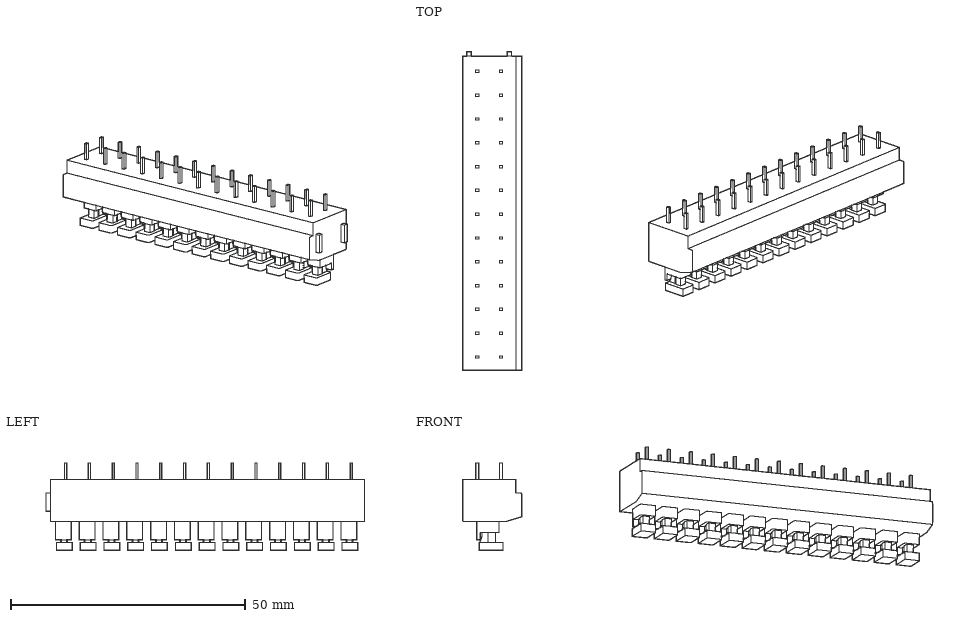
import cadquery as cq

total_width = 12.6
total_length = 68.04
total_height = 18.7

contact_count = 13
pitch = 5.08

end_peg_length = 0.95
housing_length = total_length - end_peg_length
housing_bottom = 6.15
housing_fillet = 0.2
housing_top = 15.15
shoulder_x = 11.35
shoulder_z = 12.25
nose_bottom_z = 7.15
nose_bevel_x = 9.3

peg_width = 1.0
peg_height = 4.0
peg_bottom = 8.3
peg_x_positions = (1.35, 9.95)

pin_size_x = 0.7
pin_size_y = 0.5
first_pin_y = 2.87
pin_x_left = 3.11
pin_x_positions = (pin_x_left, pin_x_left + pitch)

guide_left = 2.95
guide_right = 7.75
guide_wall_right = 3.75
guide_bottom = 3.8
guide_wall_bottom = 2.25
guide_depth = 3.41
guide_front_offset = -1.22
guide_fillet = 0.35

stem_left = 3.6
stem_upper_left = 4.1
stem_step_x = 5.4
stem_right = 7.0
stem_slope_top = 3.0
stem_narrow_depth = 1.1
stem_wide_depth = 1.5
stem_center_offset = 0.35
foot_left = 3.5
foot_length = 5.1
foot_height = 1.7
foot_depth = 3.42
foot_front_offset = -1.43
foot_fillet = 0.35


def box(x_min, y_min, z_min, size_x, size_y, size_z):
    """Box given by its lowest corner and its sizes."""
    corner = (x_min, y_min, z_min)
    return cq.Workplane("XY").box(size_x, size_y, size_z, centered=False).translate(corner)


def extrude_profile(points, y_min, depth):
    """Extrude an XZ outline along +Y, starting at y_min."""
    return cq.Workplane("XZ", origin=(0, y_min, 0)).polyline(points).close().extrude(-depth)


def make_housing():
    """Bar with a stepped and bevelled +X side, rounded along its lower -X and shoulder edges."""
    outline = [
        (0, housing_bottom),
        (nose_bevel_x, housing_bottom),
        (total_width, nose_bottom_z),
        (total_width, shoulder_z),
        (shoulder_x, shoulder_z),
        (shoulder_x, housing_top),
        (0, housing_top),
    ]
    housing = extrude_profile(outline, 0, housing_length)
    lower_edge = housing.faces("<X").edges("|Y and <Z")
    shoulder_edge = housing.faces(">X").edges("|Y and >Z")
    return housing.newObject(lower_edge.vals() + shoulder_edge.vals()).fillet(housing_fillet)


def make_peg(x_center):
    return box(x_center - peg_width / 2, housing_length, peg_bottom, peg_width, end_peg_length, peg_height)


def make_pin(x_center, y_center):
    pin_height = total_height - housing_top
    return box(
        x_center - pin_size_x / 2, y_center - pin_size_y / 2, housing_top, pin_size_x, pin_size_y, pin_height
    )


def make_guide(y_contact):
    """Inverted-L guide with its two -Y upright corners rounded."""
    outline = [
        (guide_left, guide_wall_bottom),
        (guide_wall_right, guide_wall_bottom),
        (guide_wall_right, guide_bottom),
        (guide_right, guide_bottom),
        (guide_right, housing_bottom),
        (guide_left, housing_bottom),
    ]
    guide = extrude_profile(outline, y_contact + guide_front_offset, guide_depth)
    front_left = guide.faces("<X").edges("|Z and <Y")
    front_right = guide.faces(">X").edges("|Z and <Y")
    return guide.newObject(front_left.vals() + front_right.vals()).fillet(guide_fillet)


def make_plunger(y_contact):
    """Foot with its +Y upright corners rounded, and the stem that joins it to the guide."""
    foot = box(foot_left, y_contact + foot_front_offset, 0, foot_length, foot_depth, foot_height)
    foot = foot.faces(">Y").edges("|Z").fillet(foot_fillet)
    y_stem = y_contact + stem_center_offset
    narrow_outline = [
        (stem_left, foot_height),
        (stem_step_x, foot_height),
        (stem_step_x, guide_bottom),
        (stem_upper_left, guide_bottom),
        (stem_upper_left, stem_slope_top),
    ]
    narrow_part = extrude_profile(narrow_outline, y_stem - stem_narrow_depth / 2, stem_narrow_depth)
    wide_part = box(
        stem_step_x,
        y_stem - stem_wide_depth / 2,
        foot_height,
        stem_right - stem_step_x,
        stem_wide_depth,
        guide_bottom - foot_height,
    )
    return foot.union(narrow_part).union(wide_part)


result = make_housing()
for peg_x in peg_x_positions:
    result = result.union(make_peg(peg_x))
for index in range(contact_count):
    contact_y = first_pin_y + index * pitch
    for pin_x in pin_x_positions:
        result = result.union(make_pin(pin_x, contact_y))
    result = result.union(make_guide(contact_y))
    result = result.union(make_plunger(contact_y))